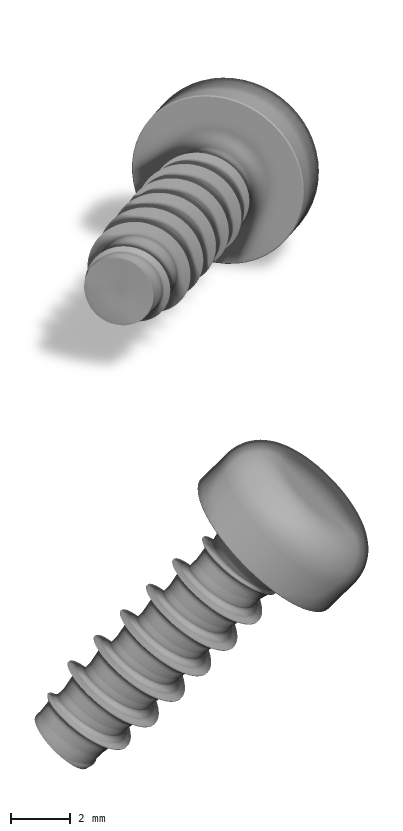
import cadquery as cq
import math

total_length = 12.69
head_height = 2.69
shank_length = total_length - head_height
head_radius = 3.052
dome_radius = 1.36
rim_chamfer = 0.04

neck_radius = 1.37
neck_fillet = 0.5
neck_length = 0.88
core_radius = 1.225
core_start = 1.41
tip_dimple_radius = 1.18
tip_overlength = 1.52
tip_dimple_depth = 0.08

pitch = 1.3
crest_radius = 1.758
crest_half_width = 0.019
pitch_start_depth = 0.98
first_turn = -0.5
run_in_bend = 0.15
run_in_crest_radius = 1.32
pitch_start_crest_radius = 1.52
full_height_start = 1.0
full_height_end = 5.5
last_turn = 7.0
run_out_per_turn = 0.36
segment_count = 15
points_per_segment = 10

head_flank_root = -0.3
head_flank_middle = -0.082
tip_flank_foot = 0.171
slope_end = 0.91
root_end = 0.93
middle_height_share = 0.44
foot_height_share = 0.22
buried_radius = 1.14
slope_end_radius = 1.19
first_slope_share = 0.4


def make_body():
    """Revolve the domed head, filleted neck and an overlong core as one profile."""
    arc_share = math.sqrt(0.5)
    dome_middle = (
        head_radius - dome_radius * (1 - arc_share),
        head_height - dome_radius * (1 - arc_share),
    )
    fillet_middle = (
        neck_radius + neck_fillet * (1 - arc_share),
        -neck_fillet * (1 - arc_share),
    )
    return (
        cq.Workplane("XY")
        .moveTo(0, head_height)
        .lineTo(head_radius - dome_radius, head_height)
        .threePointArc(dome_middle, (head_radius, head_height - dome_radius))
        .lineTo(head_radius, rim_chamfer)
        .lineTo(head_radius - rim_chamfer, 0)
        .lineTo(neck_radius + neck_fillet, 0)
        .threePointArc(fillet_middle, (neck_radius, -neck_fillet))
        .lineTo(neck_radius, -neck_length)
        .lineTo(core_radius, -core_start)
        .lineTo(core_radius, -shank_length - tip_overlength)
        .lineTo(0, -shank_length - tip_overlength)
        .close()
        .revolve(360, (0, 0, 0), (0, 1, 0))
    )


def crest_depth(turn):
    """Distance of the crest below the head; the run-in bends smoothly into the helix."""
    if turn >= 0:
        return pitch_start_depth + pitch * turn
    bend_turn = max(turn, -run_in_bend)
    return pitch_start_depth + pitch * (bend_turn + bend_turn**2 / (2 * run_in_bend))


def crest_radius_at(turn):
    """Crest radius, growing out of the neck and sinking into the core near the tip."""
    if turn < 0:
        share = 1 - turn / first_turn
        return run_in_crest_radius + (pitch_start_crest_radius - run_in_crest_radius) * share
    if turn < full_height_start:
        share = turn / full_height_start
        return pitch_start_crest_radius + (crest_radius - pitch_start_crest_radius) * share
    return crest_radius - run_out_per_turn * max(0, turn - full_height_end)


def thread_section(turn):
    """Corners of the thread section as (radius, axial offset) pairs."""
    crest = crest_radius_at(turn)
    height = crest - core_radius
    slope_share = 1 - (1 - first_slope_share) * max(0, turn / first_turn)
    return [
        (buried_radius, head_flank_root),
        (core_radius + middle_height_share * height, head_flank_middle),
        (crest, -crest_half_width),
        (crest, crest_half_width),
        (core_radius + foot_height_share * height, tip_flank_foot),
        (slope_end_radius, slope_end * slope_share),
        (buried_radius, root_end * slope_share),
    ]


def section_points(turn):
    """Section corners placed in space at the given turn."""
    angle = 2 * math.pi * turn
    return [
        cq.Vector(
            radius * math.sin(angle),
            -crest_depth(turn) - offset,
            -radius * math.cos(angle),
        )
        for radius, offset in thread_section(turn)
    ]


def make_thread_segment(start_turn, end_turn):
    """Close ruled faces between the section's helical corner paths into a solid."""
    turn_step = (end_turn - start_turn) / points_per_segment
    turns = [start_turn + i * turn_step for i in range(points_per_segment + 1)]
    sections = [section_points(turn) for turn in turns]
    rails = [
        cq.Edge.makeSpline(list(corner_path), parameters=turns)
        for corner_path in zip(*sections)
    ]
    faces = [
        cq.Face.makeRuledSurface(rail, next_rail)
        for rail, next_rail in zip(rails, rails[1:] + rails[:1])
    ]
    for end_section in (sections[0], sections[-1]):
        outline = cq.Wire.makePolygon(end_section, close=True)
        faces.append(cq.Face.makeFromWires(outline))
    return cq.Solid.makeSolid(cq.Shell.makeShell(faces))


def make_thread():
    """Chain short thread segments from the run-in to the run-out."""
    segment_turns = (last_turn - first_turn) / segment_count
    starts = [first_turn + i * segment_turns for i in range(segment_count)]
    return [make_thread_segment(start, start + segment_turns) for start in starts]


def make_tip_cutter():
    """Waste beyond the tip, topped by the shallow cone that leaves the dimple."""
    waste_end = -shank_length - 2 * tip_overlength
    return (
        cq.Workplane("XY")
        .moveTo(0, -shank_length + tip_dimple_depth)
        .lineTo(tip_dimple_radius, -shank_length)
        .lineTo(head_radius, -shank_length)
        .lineTo(head_radius, waste_end)
        .lineTo(0, waste_end)
        .close()
        .revolve(360, (0, 0, 0), (0, 1, 0))
    )


threaded_body = make_body()
for segment in make_thread():
    threaded_body = threaded_body.union(segment, clean=False)
result = threaded_body.cut(make_tip_cutter(), clean=False)